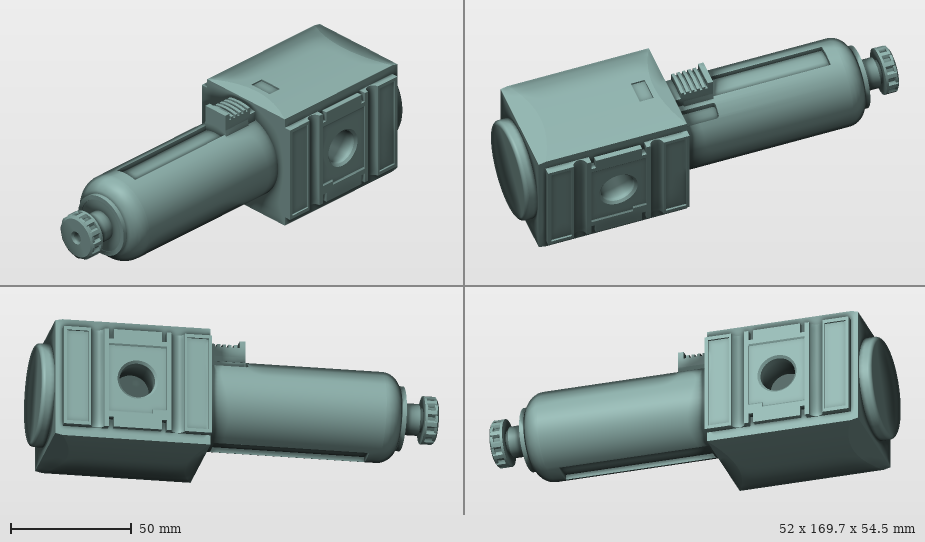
import cadquery as cq
import math


BLOCK_WIDTH = 45.8
EDGE_HALF_HEIGHT = 25.6
CROWN_HALF_HEIGHT = 27.0
BLOCK_LENGTH = 65.5
END_SLOPE_RUN = 6.1
END_SLOPE_ANGLE = math.atan((CROWN_HALF_HEIGHT - EDGE_HALF_HEIGHT) / END_SLOPE_RUN)

CAP_DIAMETER = 43.0
CAP_LENGTH = 5.3
CAP_ROUND = 1.7

OVERALL_WIDTH = 52.0
PAD_LENGTH = 62.4
PAD_HALF_HEIGHT = 21.5
PAD_THICKNESS = (OVERALL_WIDTH - BLOCK_WIDTH) / 2
PAD_MIDDLE = PAD_LENGTH / 2
GROOVE_OFFSET = 17.0
GROOVE_RADIUS = 2.9
PANEL_OFFSET = 25.3
PANEL_WIDTH = 9.2
PANEL_HEIGHT = 40.0
PANEL_DEPTH = 0.8
NOTCH_OFFSET = 11.2
NOTCH_WIDTH = 2.0
NOTCH_DEPTH = 4.2
CLIP_SLOT_WIDTH = 0.8

PORT_DIAMETER = 15.0
PORT_MOUTH_DIAMETER = 17.0
PORT_DEPTH = 15.3
SEAT_LENGTH = 24.4
SEAT_DEPTH = 0.5
SEAT_TOP = 15.3
SEAT_BOTTOM = -15.0
SEAT_STEP_BOTTOM = -13.2
SEAT_STEP_LENGTH = 6.0
SEAT_WALL_RUN = 0.7

LABEL_WIDTH = 10.8
LABEL_LENGTH = 6.1
LABEL_MIDDLE = 11.4
LABEL_DEPTH = 0.8

BOWL_DIAMETER = 37.8
BOWL_RADIUS = BOWL_DIAMETER / 2
BOWL_LENGTH = 82.5
BOWL_END_ROUND = 7.6
RECESS_RADIUS = 16.8
WINDOW_WIDTH = 10.8
WINDOW_END = 69.8
LOWER_WINDOW_START = 4.5
SLOT_INNER_X = -8.0
SLOT_OUTER_ANGLE = 135.6
SLOT_LENGTH = 17.8
SLOT_CORNER_ROUND = 1.0

RING_DIAMETER = 27.0
RING_LENGTH = 1.9
RING_DISH_DIAMETER = 23.0
RING_DISH_DEPTH = 0.3
SHANK_DIAMETER = 13.2
SHANK_LENGTH = 7.5
SHANK_CHAMFER = 0.5
NECK_DIAMETER = 10.2
NECK_LENGTH = 1.0
KNOB_DIAMETER = 20.0
KNOB_LENGTH = 6.0
KNOB_CORE_DIAMETER = 17.3
KNOB_COLLAR_LENGTH = 1.0
KNOB_CONE_LENGTH = 0.8
KNOB_RIM_DIAMETER = 19.0
KNOB_RIM_LENGTH = 1.7
KNOB_RIB_COUNT = 12
KNOB_RIB_TOP_WIDTH = 1.7
KNOB_RIB_ROOT_WIDTH = 3.2
DRAIN_HOLE_DIAMETER = 4.0
DRAIN_MOUTH_DIAMETER = 5.8
DRAIN_HOLE_DEPTH = 8.5

RING_START = BOWL_LENGTH
SHANK_START = RING_START + RING_LENGTH
NECK_START = SHANK_START + SHANK_LENGTH
KNOB_START = NECK_START + NECK_LENGTH
KNOB_END = KNOB_START + KNOB_LENGTH

LATCH_WIDTH = 11.7
LATCH_GAP = 0.5
LATCH_END = SLOT_LENGTH
LATCH_TOP = 27.5
LATCH_RIDGE_RADIUS = 26.3
LATCH_GROOVE_RADIUS = 25.1
LATCH_SHOULDER_RADIUS = 23.0
LATCH_SHOULDER_END = 3.5
LATCH_GROOVE_COUNT = 5
LATCH_GROOVE_START = 5.0
LATCH_GROOVE_PITCH = 2.4
LATCH_GROOVE_WIDTH = 1.0
LAST_GROOVE_START = LATCH_GROOVE_START + (LATCH_GROOVE_COUNT - 1) * LATCH_GROOVE_PITCH
LATCH_LIP_START = LAST_GROOVE_START + LATCH_GROOVE_WIDTH
FLARE_START = 4.7
FLARE_TOP = 20.3
FLARE_BOTTOM = 17.8
FLARE_WIDTH = 12.9


def box(size_x, size_y, size_z, center):
    return cq.Workplane("XY").box(size_x, size_y, size_z).translate(center)


def disc(diameter, start, length):
    """Cylinder on the axis, from a distance in front of the mouth onwards towards -Y."""
    return cq.Workplane("XZ", origin=(0, -start, 0)).circle(diameter / 2).extrude(length)


def tapered_disc(diameters, stations):
    """Body of revolution on the axis with straight tapers between the given stations."""
    rim = [(diameter / 2, -station) for diameter, station in zip(diameters, stations)]
    profile = [(0, -stations[0])] + rim + [(0, -stations[-1])]
    return cq.Workplane("XY").polyline(profile).close().revolve(360, (0, 0, 0), (0, 1, 0))


def both_sides(shape):
    """The shape together with its mirror image in X."""
    return shape.union(shape.mirror("YZ"))


def block():
    half_width = BLOCK_WIDTH / 2
    section = (
        cq.Workplane("XZ")
        .moveTo(-half_width, -EDGE_HALF_HEIGHT)
        .threePointArc((0, -CROWN_HALF_HEIGHT), (half_width, -EDGE_HALF_HEIGHT))
        .lineTo(half_width, EDGE_HALF_HEIGHT)
        .threePointArc((0, CROWN_HALF_HEIGHT), (-half_width, EDGE_HALF_HEIGHT))
        .close()
        .extrude(-BLOCK_LENGTH)
    )
    rear_drop = (BLOCK_LENGTH - PAD_LENGTH) * math.tan(END_SLOPE_ANGLE)
    rear_half_height = EDGE_HALF_HEIGHT - rear_drop
    upper = [
        (0, EDGE_HALF_HEIGHT),
        (END_SLOPE_RUN, CROWN_HALF_HEIGHT),
        (PAD_LENGTH - END_SLOPE_RUN, CROWN_HALF_HEIGHT),
        (BLOCK_LENGTH, rear_half_height),
    ]
    lower = [(y, -z) for y, z in reversed(upper)]
    side = cq.Workplane("YZ").polyline(upper + lower).close().extrude(half_width, both=True)
    return section.intersect(side)


def end_cap():
    return disc(CAP_DIAMETER, -BLOCK_LENGTH, -CAP_LENGTH).faces(">Y").edges().fillet(CAP_ROUND)


def side_pad():
    """Mounting pad on the +X side, with its grooves, panels, notches and clip slots."""
    inner_x = BLOCK_WIDTH / 2
    outer_x = OVERALL_WIDTH / 2
    middle_x = (inner_x + outer_x) / 2
    pad = box(PAD_THICKNESS, PAD_LENGTH, 2 * PAD_HALF_HEIGHT, (middle_x, PAD_MIDDLE, 0))
    notch_z = PAD_HALF_HEIGHT - NOTCH_DEPTH / 2
    for side in (-1, 1):
        groove = (
            cq.Workplane("XY")
            .center(outer_x, PAD_MIDDLE + side * GROOVE_OFFSET)
            .circle(GROOVE_RADIUS)
            .extrude(PAD_HALF_HEIGHT, both=True)
        )
        panel = box(
            2 * PANEL_DEPTH, PANEL_WIDTH, PANEL_HEIGHT, (outer_x, PAD_MIDDLE + side * PANEL_OFFSET, 0)
        )
        pad = pad.cut(groove).cut(panel)
        for end in (-1, 1):
            notch = box(
                PAD_THICKNESS,
                NOTCH_WIDTH,
                NOTCH_DEPTH,
                (middle_x, PAD_MIDDLE + side * NOTCH_OFFSET, end * notch_z),
            )
            pad = pad.cut(notch)
    for end in (-1, 1):
        clip_slot = box(
            CLIP_SLOT_WIDTH,
            2 * NOTCH_OFFSET,
            NOTCH_DEPTH,
            (inner_x + CLIP_SLOT_WIDTH / 2, PAD_MIDDLE, end * notch_z),
        )
        pad = pad.cut(clip_slot)
    return pad


def seat_strip(start, length, bottom):
    """Strip of the port seat on the +X side, with leaning upper and lower walls."""
    face_x = OVERALL_WIDTH / 2
    floor_x = face_x - SEAT_DEPTH
    return (
        cq.Workplane("XZ", origin=(0, start, 0))
        .polyline(
            [
                (face_x, bottom),
                (floor_x, bottom + SEAT_WALL_RUN),
                (floor_x, SEAT_TOP - SEAT_WALL_RUN),
                (face_x, SEAT_TOP),
            ]
        )
        .close()
        .extrude(-length)
    )


def port():
    """Seat and blind port with a chamfered mouth, on the +X side."""
    seat_start = PAD_MIDDLE - SEAT_LENGTH / 2
    step_end = seat_start + SEAT_STEP_LENGTH
    seat = seat_strip(seat_start, SEAT_STEP_LENGTH, SEAT_STEP_BOTTOM).union(
        seat_strip(step_end, SEAT_LENGTH - SEAT_STEP_LENGTH, SEAT_BOTTOM)
    )
    floor_x = OVERALL_WIDTH / 2 - SEAT_DEPTH
    bore_radius = PORT_DIAMETER / 2
    mouth_radius = PORT_MOUTH_DIAMETER / 2
    chamfer = mouth_radius - bore_radius
    bore = (
        cq.Workplane("XY")
        .polyline(
            [
                (floor_x, 0),
                (floor_x, mouth_radius),
                (floor_x - chamfer, bore_radius),
                (floor_x - PORT_DEPTH, bore_radius),
                (floor_x - PORT_DEPTH, 0),
            ]
        )
        .close()
        .revolve(360, (0, 0, 0), (1, 0, 0))
        .translate((0, PAD_MIDDLE, 0))
    )
    return seat.union(bore)


def label_recess():
    return box(LABEL_WIDTH, LABEL_LENGTH, 2 * LABEL_DEPTH, (0, LABEL_MIDDLE, CROWN_HALF_HEIGHT))


def make_housing():
    body = block().union(end_cap()).union(both_sides(side_pad()))
    return body.cut(both_sides(port())).cut(label_recess())


def window(start, side):
    """Long recess in the bowl wall, on top for side = 1 and underneath for side = -1."""
    length = WINDOW_END - start
    strip = box(WINDOW_WIDTH, length, BOWL_RADIUS, (0, -start - length / 2, side * BOWL_RADIUS))
    return strip.cut(disc(2 * RECESS_RADIUS, start, length))


def side_slot():
    """Slot beside the latch: an upright inner wall, a round floor and a radial outer wall."""
    angle = math.radians(SLOT_OUTER_ANGLE)
    reach = BOWL_RADIUS / abs(math.cos(angle))
    outer_tip = (reach * math.cos(angle), reach * math.sin(angle))
    wedge = (
        cq.Workplane("XZ")
        .moveTo(SLOT_INNER_X, SLOT_INNER_X * math.tan(angle))
        .lineTo(*outer_tip)
        .lineTo(SLOT_INNER_X, outer_tip[1])
        .close()
        .extrude(SLOT_LENGTH)
        .faces("<Y")
        .edges()
        .fillet(SLOT_CORNER_ROUND)
    )
    return wedge.cut(disc(2 * RECESS_RADIUS, 0, SLOT_LENGTH))


def latch():
    """Sliding latch standing on top of the bowl."""
    length = LATCH_END - LATCH_GAP
    middle_y = -(LATCH_GAP + LATCH_END) / 2
    column = box(LATCH_WIDTH, length, LATCH_TOP, (0, middle_y, LATCH_TOP / 2))
    grip = disc(2 * LATCH_RIDGE_RADIUS, LATCH_GAP, LATCH_LIP_START - LATCH_GAP)
    for index in range(LATCH_GROOVE_COUNT):
        start = LATCH_GROOVE_START + index * LATCH_GROOVE_PITCH
        groove = disc(2 * LATCH_RIDGE_RADIUS, start, LATCH_GROOVE_WIDTH)
        groove = groove.cut(disc(2 * LATCH_GROOVE_RADIUS, start, LATCH_GROOVE_WIDTH))
        grip = grip.cut(groove)
    shoulder_length = LATCH_SHOULDER_END - LATCH_GAP
    above_shoulder = disc(2 * LATCH_RIDGE_RADIUS, LATCH_GAP, shoulder_length)
    above_shoulder = above_shoulder.cut(disc(2 * LATCH_SHOULDER_RADIUS, LATCH_GAP, shoulder_length))
    grip = grip.cut(above_shoulder)
    lip_length = LATCH_END - LATCH_LIP_START
    lip = box(LATCH_WIDTH, lip_length, LATCH_TOP, (0, lip_length / 2 - LATCH_END, LATCH_TOP / 2))
    flare = (
        cq.Workplane("XZ", origin=(0, -FLARE_START, 0))
        .polyline(
            [
                (-LATCH_WIDTH / 2, FLARE_TOP),
                (LATCH_WIDTH / 2, FLARE_TOP),
                (FLARE_WIDTH / 2, FLARE_BOTTOM),
                (-FLARE_WIDTH / 2, FLARE_BOTTOM),
            ]
        )
        .close()
        .extrude(LATCH_END - FLARE_START)
    )
    body = column.intersect(grip.union(lip)).union(flare)
    return body.cut(disc(2 * RECESS_RADIUS, 0, LATCH_END))


def knob_rib():
    """One grip rib with sloping flanks, on the +Z side of the knob."""
    top = KNOB_DIAMETER / 2
    root = KNOB_CORE_DIAMETER / 2
    return (
        cq.Workplane("XZ", origin=(0, -KNOB_START, 0))
        .polyline(
            [
                (-KNOB_RIB_ROOT_WIDTH / 2, 0),
                (-KNOB_RIB_ROOT_WIDTH / 2, root),
                (-KNOB_RIB_TOP_WIDTH / 2, top),
                (KNOB_RIB_TOP_WIDTH / 2, top),
                (KNOB_RIB_ROOT_WIDTH / 2, root),
                (KNOB_RIB_ROOT_WIDTH / 2, 0),
            ]
        )
        .close()
        .extrude(KNOB_LENGTH)
    )


def knob():
    body = disc(KNOB_CORE_DIAMETER, KNOB_START, KNOB_LENGTH)
    body = body.union(disc(KNOB_DIAMETER, KNOB_START, KNOB_COLLAR_LENGTH))
    body = body.union(disc(KNOB_RIM_DIAMETER, KNOB_END - KNOB_RIM_LENGTH, KNOB_RIM_LENGTH))
    for index in range(KNOB_RIB_COUNT):
        body = body.union(knob_rib().rotate((0, 0, 0), (0, 1, 0), index * 360 / KNOB_RIB_COUNT))
    envelope = tapered_disc(
        (KNOB_DIAMETER, KNOB_DIAMETER, KNOB_CORE_DIAMETER),
        (KNOB_START, KNOB_END - KNOB_CONE_LENGTH, KNOB_END),
    )
    return body.intersect(envelope)


def drain():
    ring = disc(RING_DIAMETER, RING_START, RING_LENGTH)
    ring = ring.cut(disc(RING_DISH_DIAMETER, SHANK_START - RING_DISH_DEPTH, RING_DISH_DEPTH))
    shank = disc(SHANK_DIAMETER, RING_START, RING_LENGTH + SHANK_LENGTH)
    shank = shank.faces("<Y").edges().chamfer(SHANK_CHAMFER)
    neck = disc(NECK_DIAMETER, RING_START, KNOB_END - RING_START)
    mouth_depth = (DRAIN_MOUTH_DIAMETER - DRAIN_HOLE_DIAMETER) / 2
    hole = tapered_disc(
        (DRAIN_HOLE_DIAMETER, DRAIN_HOLE_DIAMETER, DRAIN_MOUTH_DIAMETER),
        (KNOB_END - DRAIN_HOLE_DEPTH, KNOB_END - mouth_depth, KNOB_END),
    )
    return ring.union(shank).union(neck).union(knob()).cut(hole)


def make_bowl():
    tube = disc(BOWL_DIAMETER, 0, BOWL_LENGTH).faces("<Y").edges().fillet(BOWL_END_ROUND)
    tube = tube.cut(window(0, 1)).cut(window(LOWER_WINDOW_START, -1)).cut(side_slot())
    return tube.union(latch()).union(drain())


housing = make_housing()
bowl = make_bowl()
result = cq.Compound.makeCompound([housing.val(), bowl.val()])